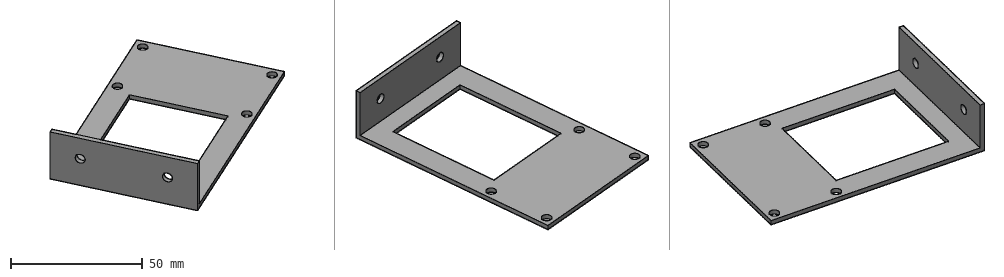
import cadquery as cq

width = 60.0
depth = 95.0
height = 22.0
thickness = 2.0
hole_diameter = 4.0

window_width = 40.0
window_length = 50.0
window_front_margin = 10.0

plate_hole_edge = 3.7
plate_hole_pitch_y = 27.5

flange_hole_pitch = 35.5
flange_hole_height = 12.5

plate_hole_pitch_x = width - 2 * plate_hole_edge
plate_holes_center_y = depth - plate_hole_edge - plate_hole_pitch_y / 2
window_center_y = window_front_margin + window_length / 2


def make_bracket():
    """L-shaped body: horizontal base plate with an upright front flange."""
    centered_in_x = (True, False, False)
    plate = cq.Workplane("XY").box(width, depth, thickness, centered=centered_in_x)
    flange = cq.Workplane("XY").box(width, thickness, height, centered=centered_in_x)
    return plate.union(flange)


def make_window():
    """Cutter for the window through the base plate."""
    return (
        cq.Workplane("XY")
        .center(0, window_center_y)
        .rect(window_width, window_length)
        .extrude(thickness)
    )


def make_plate_holes():
    """Cutter for the four vertical holes through the base plate."""
    return (
        cq.Workplane("XY")
        .center(0, plate_holes_center_y)
        .rarray(plate_hole_pitch_x, plate_hole_pitch_y, 2, 2)
        .circle(hole_diameter / 2)
        .extrude(thickness)
    )


def make_flange_holes():
    """Cutter for the two horizontal holes through the flange."""
    return (
        cq.Workplane("XZ")
        .center(0, flange_hole_height)
        .rarray(flange_hole_pitch, 1, 2, 1)
        .circle(hole_diameter / 2)
        .extrude(-thickness)
    )


result = make_bracket().cut(make_window()).cut(make_plate_holes()).cut(make_flange_holes())